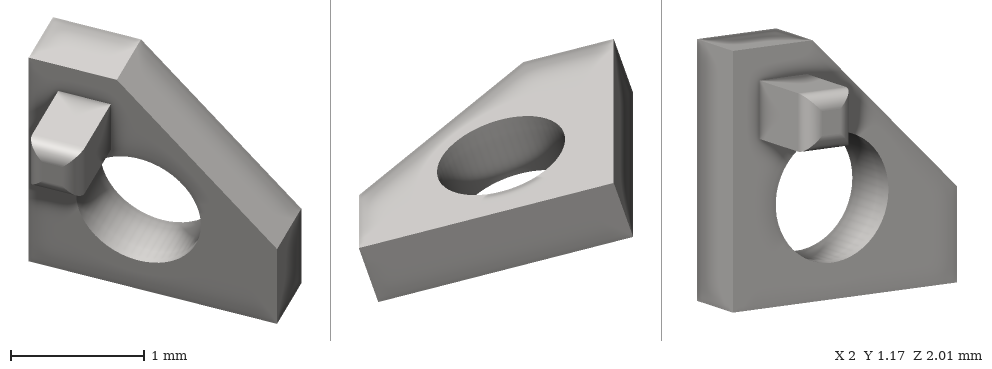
import cadquery as cq

plate_width = 2.0
plate_height = 2.01
plate_thickness = 0.502
top_edge_length = 0.71
right_edge_height = 0.738

hole_diameter = 1.005
hole_x = 0.885
hole_z = 0.784

peg_width = 0.425
peg_height = 0.448
peg_length = 0.667
peg_left = 0.237
peg_top_gap = 0.255
peg_rounding = 0.129


def make_plate():
    """Plate with its front face at Y = 0 and its back at +Y."""
    outline = [
        (0, 0),
        (plate_width, 0),
        (plate_width, right_edge_height),
        (top_edge_length, plate_height),
        (0, plate_height),
    ]
    return cq.Workplane("XZ").polyline(outline).close().extrude(-plate_thickness)


def make_hole():
    return (
        cq.Workplane("XZ")
        .center(hole_x, hole_z)
        .circle(hole_diameter / 2)
        .extrude(-plate_thickness)
    )


def make_peg():
    """Peg reaching toward -Y, with the edges of its free end rounded."""
    peg_bottom = plate_height - peg_top_gap - peg_height
    return (
        cq.Workplane("XZ")
        .center(peg_left, peg_bottom)
        .rect(peg_width, peg_height, centered=False)
        .extrude(peg_length)
        .faces("<Y")
        .edges()
        .fillet(peg_rounding)
    )


result = make_plate().cut(make_hole()).union(make_peg())